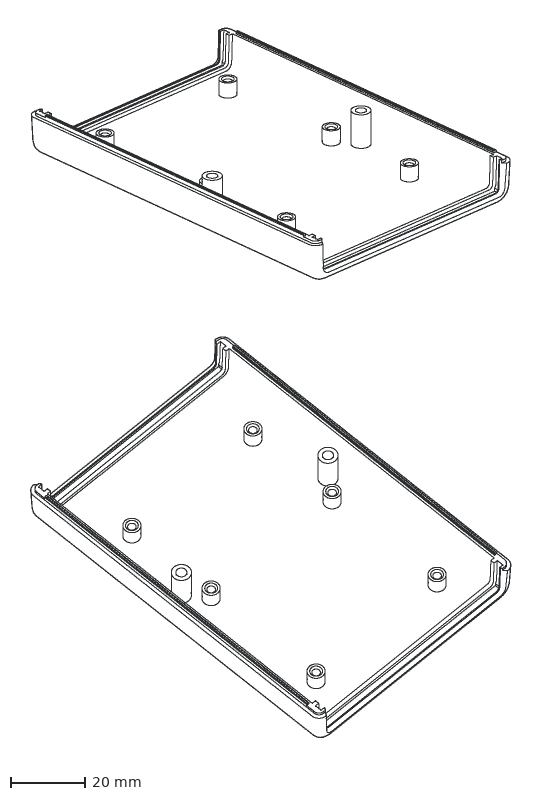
import cadquery as cq
import math

length = 111.2
width = 75.0
rim_z = 12.0
floor_z = 2.3
wall_draft = math.tan(math.radians(2.0))
side_radius = 4.7
end_radius = 2.7

cavity_width = 69.5
cavity_radius = 2.2

tongue_top_z = 12.8
ledge_width = 1.1
tongue_corner_radius = 1.7
bead_top_z = 13.5
bead_width = 0.9
bead_length = 99.6
bead_chamfer = 0.2

lip_crest_x = 54.0
lip_inner_x = 53.7
rib_outer_x = 51.6
rib_inner_x = 50.4
slot_width = 68.1
seat_width = cavity_width - 2.5
seat_radius = 1.3
rib_top_z = floor_z + 1.1
lip_top_z = floor_z + 0.8
lip_floor_slope = math.tan(math.radians(25))
lip_wall_slope = math.tan(math.radians(36))
lip_end_radius = 2.2

board_boss_x = (-40.3, -0.3, 29.8)
board_boss_y = 23.1
board_boss_diameter = 4.9
board_boss_top_z = 6.9
pilot_depth = board_boss_top_z - floor_z
pilot_diameter = 2.3
pilot_mouth_diameter = 3.5
countersink_angle = 90

screw_boss_x = 6.1
screw_boss_y = 28.0
screw_boss_diameter = 5.5
screw_boss_top_z = 12.5
screw_hole_diameter = 3.0


def block(x_min, x_max, y_size, z_min, z_max):
    """Box spanning x_min..x_max and z_min..z_max, centred on Y."""
    corner = (x_min, -y_size / 2, z_min)
    return cq.Workplane("XY", origin=corner).box(x_max - x_min, y_size, z_max - z_min, centered=False)


def drafted_block(plane, size, depth):
    """Block centred on the plane, `size` wide at the rim and narrower towards the bottom."""
    half_rim = size / 2
    half_bottom = half_rim - rim_z * wall_draft
    corners = [(-half_bottom, 0), (half_bottom, 0), (half_rim, rim_z), (-half_rim, rim_z)]
    return cq.Workplane(plane).polyline(corners).close().extrude(depth / 2, both=True)


def outer_body():
    """Drafted block with rounded long bottom edges, rounded open ends and a raised tongue on top."""
    across = drafted_block("YZ", width, length).edges("|X and <Z").fillet(side_radius)
    body = across.intersect(drafted_block("XZ", length, width))
    body = body.faces("<X or >X").edges("not >Z").fillet(end_radius)
    tongue_end = length / 2 - ledge_width
    tongue = block(-tongue_end, tongue_end, width - 2 * ledge_width, rim_z, tongue_top_z)
    return body.union(tongue.edges("|Z").fillet(tongue_corner_radius))


def channel_section(top_width, bottom_z, radius):
    """Cross-section in YZ of the space between drafted walls, with rounded bottom corners."""
    half_top = top_width / 2
    half_bottom = half_top - (tongue_top_z - bottom_z) * wall_draft
    corners = [
        (-half_bottom, bottom_z),
        (half_bottom, bottom_z),
        (half_top, tongue_top_z),
        (-half_top, tongue_top_z),
        (-half_bottom, bottom_z),
    ]
    return cq.Sketch().polygon(corners).vertices("<Y").fillet(radius).reset()


def channel(x_min, x_max, top_width, bottom_z, radius):
    """Solid of constant channel section from x_min to x_max."""
    section = channel_section(top_width, bottom_z, radius)
    return cq.Workplane("YZ", origin=(x_min, 0, 0)).placeSketch(section).extrude(x_max - x_min)


def seat_strip(x_min, x_max, top_z):
    """U-shaped strip that stands proud of the floor and both walls."""
    strip = block(x_min, x_max, cavity_width + ledge_width, floor_z / 2, tongue_top_z)
    return strip.cut(channel(x_min, x_max, seat_width, top_z, seat_radius))


def lip_flare():
    """Solid that widens from the lip crest to the open -X end."""
    run = length / 2 - lip_crest_x
    crest = channel_section(seat_width, lip_top_z, seat_radius)
    mouth = channel_section(
        seat_width + 2 * run * lip_wall_slope, lip_top_z - run * lip_floor_slope, lip_end_radius
    )
    plane = cq.Workplane("YZ", origin=(-lip_crest_x, 0, 0))
    return plane.placeSketch(crest, mouth.moved(cq.Location(cq.Vector(0, 0, -run)))).loft()


def bead(side):
    """Narrow bead along the outer edge of the tongue; side is +1 or -1 in Y."""
    y_centre = side * (width / 2 - ledge_width - bead_width / 2)
    bar = block(-bead_length / 2, bead_length / 2, bead_width, tongue_top_z, bead_top_z)
    return bar.edges(">Z and |X").chamfer(bead_chamfer).translate((0, y_centre, 0))


def boss(x, y, diameter, top_z):
    """Round post rooted inside the floor."""
    root_z = floor_z / 2
    return cq.Workplane("XY", origin=(x, y, root_z)).circle(diameter / 2).extrude(top_z - root_z)


outside = outer_body()
tray = outside.cut(channel(-length / 2, length / 2, cavity_width, floor_z, cavity_radius))

slot = block(-lip_inner_x, -rib_outer_x, slot_width, floor_z, tongue_top_z)
rib = seat_strip(-rib_outer_x, -rib_inner_x, rib_top_z)
lip = seat_strip(-length / 2, -lip_inner_x, lip_top_z).intersect(outside)
flare = lip_flare()
for seat_part in (rib, lip):
    tray = tray.union(seat_part).union(seat_part.mirror("YZ"))
for clearance in (slot, flare):
    tray = tray.cut(clearance).cut(clearance.mirror("YZ"))

for side in (-1, 1):
    tray = tray.union(bead(side))

    for x in board_boss_x:
        y = side * board_boss_y
        tray = tray.union(boss(x, y, board_boss_diameter, board_boss_top_z))
        tray = (
            tray.copyWorkplane(cq.Workplane("XY", origin=(x, y, board_boss_top_z)))
            .cskHole(pilot_diameter, pilot_mouth_diameter, countersink_angle, depth=pilot_depth)
        )

    y = side * screw_boss_y
    tray = tray.union(boss(screw_boss_x, y, screw_boss_diameter, screw_boss_top_z))
    tray = (
        tray.copyWorkplane(cq.Workplane("XY", origin=(screw_boss_x, y, screw_boss_top_z)))
        .hole(screw_hole_diameter, depth=screw_boss_top_z)
    )

result = tray